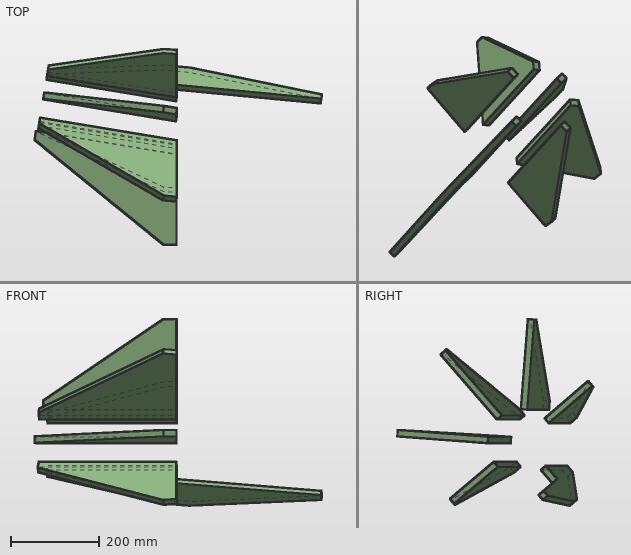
import cadquery as cq
import math


AXIS_SWING = 9.4
ROLL_OFFSET = 4.4
PLATE_THICKNESS = 15.0
INNER_RADIUS = 75.4
TIP_WIDTH = 20.0
ROOT_LAND = 30.0

LEVEL_TIP = 311.6
TIP = 307.2

FINS = [
    (0, 205.8, LEVEL_TIP),
    (45, 195.7, TIP),
    (90, 205.8, TIP),
    (134.5, 130.5, TIP),
    (315, 130.5, TIP),
]

DOUBLE_ROLL = 225
DOUBLE_ROOT = 104.5
TAIL_SETBACK = 40.0
TAIL_TIP = 316.4
TAIL_TIP_RADIUS = 150.3
TAIL_TIP_WIDTH = 15.0

swing = math.radians(AXIS_SWING)
axis = cq.Vector(-math.cos(swing), math.sin(swing), 0)
level = cq.Vector(-math.sin(swing), -math.cos(swing), 0)
up = cq.Vector(0, 0, 1)


def radial_direction(roll_position):
    roll = math.radians(roll_position + ROLL_OFFSET)
    return level * math.cos(roll) + up * math.sin(roll)


def root_point(radial, along, away=0.0):
    """Point (axial, radius) at a length along the root edge and a distance square to it.

    The root edge is the line where the plate's middle plane meets X = 0.
    """
    lean = math.atan(-radial.x / axis.x)
    inner_corner = INNER_RADIUS * math.tan(lean)
    axial = inner_corner + along * math.sin(lean) + away * math.cos(lean)
    radius = INNER_RADIUS + along * math.cos(lean) - away * math.sin(lean)
    return (axial, radius)


def plate(radial, outline):
    """Plate about its middle plane, from an outline of (axial, radius) points."""
    middle_plane = cq.Plane((0, 0, 0), axis.toTuple(), axis.cross(radial).toTuple())
    return cq.Workplane(middle_plane).polyline(outline).close().extrude(PLATE_THICKNESS / 2, both=True)


def fin_edge(radial, root_length, tip):
    """Outline of a fin from its outer root land, around the tip, to the inner root corner."""
    return [
        root_point(radial, root_length, ROOT_LAND),
        (tip, INNER_RADIUS + TIP_WIDTH),
        (tip, INNER_RADIUS),
        root_point(radial, 0),
    ]


def tail_edge(radial):
    """Outline of the tail from its inner root corner, around the tip, to its outer root land."""
    return [
        root_point(radial, TAIL_SETBACK),
        root_point(radial, TAIL_SETBACK, -ROOT_LAND),
        (-TAIL_TIP, TAIL_TIP_RADIUS),
        (-TAIL_TIP, TAIL_TIP_RADIUS + TAIL_TIP_WIDTH),
        root_point(radial, DOUBLE_ROOT, -ROOT_LAND),
    ]


def make_fin(roll_position, root_length, tip):
    radial = radial_direction(roll_position)
    outer_root = root_point(radial, root_length)
    return plate(radial, [outer_root] + fin_edge(radial, root_length, tip))


def make_double_fin():
    radial = radial_direction(DOUBLE_ROLL)
    return plate(radial, fin_edge(radial, DOUBLE_ROOT, TIP) + tail_edge(radial))


fins = [make_fin(*fin) for fin in FINS]
double_fin = make_double_fin()

result = cq.Compound.makeCompound([fin.val() for fin in fins] + [double_fin.val()])